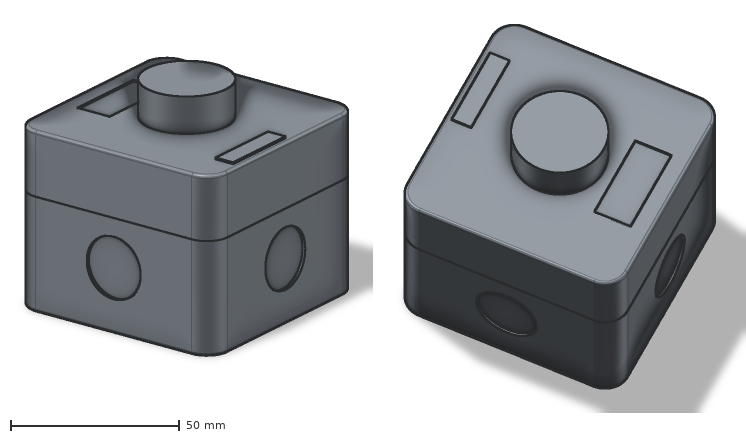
import cadquery as cq

box_side = 73.0
corner_radius = 7.6
rim_radius = 1.0
base_height = 37.0
cover_height = 21.0
box_height = base_height + cover_height

knockout_diameter = 20.0
knockout_depth = 1.0
knockout_center_z = 21.0
side_count = 4

button_diameter = 29.0
button_height = 12.0

recess_width = 12.0
recess_length = 28.0
recess_depth = 0.5
recess_center_x = -24.15

label_width = 6.5
label_length = 26.2
label_thickness = 0.5
label_center_x = 30.95
label_center_y = -9.85


def rounded_block(bottom_z, height):
    """Square block with rounded vertical corners, standing at bottom_z."""
    return (
        cq.Workplane("XY", origin=(0, 0, bottom_z))
        .rect(box_side, box_side)
        .extrude(height)
        .edges("|Z")
        .fillet(corner_radius)
    )


def rectangular_plate(center_x, center_y, bottom_z, width, length, thickness):
    """Flat plate, width along X and length along Y, standing at bottom_z."""
    return (
        cq.Workplane("XY", origin=(center_x, center_y, bottom_z))
        .rect(width, length)
        .extrude(thickness)
    )


def make_base():
    base = rounded_block(0, base_height).faces("<Z").edges().fillet(rim_radius)
    front_knockout = (
        cq.Workplane("XZ", origin=(0, -box_side / 2, knockout_center_z))
        .circle(knockout_diameter / 2)
        .extrude(-knockout_depth)
    )
    for side in range(side_count):
        angle = side * 360 / side_count
        base = base.cut(front_knockout.rotate((0, 0, 0), (0, 0, 1), angle))
    return base.solids()


def make_cover():
    cover = rounded_block(base_height, cover_height).faces(">Z").edges().fillet(rim_radius)
    recess = rectangular_plate(
        recess_center_x, 0, box_height - recess_depth, recess_width, recess_length, recess_depth
    )
    return cover.cut(recess).solids()


def make_button():
    return (
        cq.Workplane("XY", origin=(0, 0, box_height))
        .circle(button_diameter / 2)
        .extrude(button_height)
    )


def make_label():
    return rectangular_plate(
        label_center_x, label_center_y, box_height, label_width, label_length, label_thickness
    )


base = make_base()
cover = make_cover()
button = make_button()
label = make_label()

result = cq.Compound.makeCompound([base.val(), cover.val(), button.val(), label.val()])